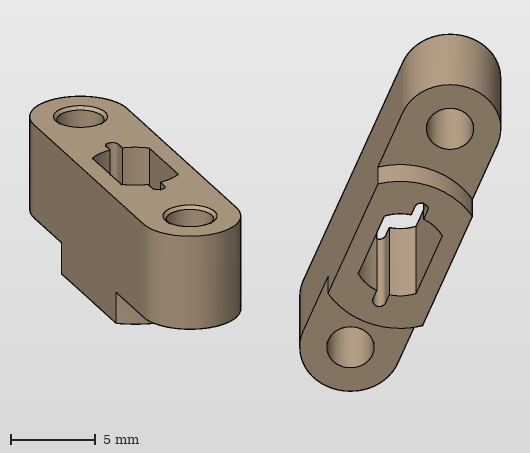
import cadquery as cq

length = 22.0
width = 6.0
body_height = 6.0

boss_diameter = 10.0
boss_height = 2.0

hole_spacing = length - width
hole_diameter = 2.8
hole_chamfer = 0.2

opening_diameter = 5.59
opening_width = 3.67
slot_length = 7.5
slot_width = 0.8

total_height = body_height + boss_height


def flatted_disc(diameter, flat_width, height):
    """Disc standing on Z = 0, cut to flat_width along Y."""
    disc = cq.Workplane("XY").circle(diameter / 2).extrude(height)
    flats = cq.Workplane("XY").rect(diameter, flat_width).extrude(height)
    return disc.intersect(flats)


def round_ended_bar(bar_length, bar_width, height):
    """Bar along X with semicircular ends, standing on Z = 0."""
    return cq.Workplane("XY").slot2D(bar_length, bar_width).extrude(height)


body = round_ended_bar(length, width, body_height).translate((0, 0, boss_height))
boss = flatted_disc(boss_diameter, width, boss_height)
result = body.union(boss)

opening = flatted_disc(opening_diameter, opening_width, total_height)
slot = round_ended_bar(slot_length, slot_width, total_height)
result = result.cut(opening).cut(slot)

result = (
    result.faces(">Z").workplane(origin=(0, 0, total_height))
    .pushPoints([(-hole_spacing / 2, 0), (hole_spacing / 2, 0)])
    .cskHole(hole_diameter, hole_diameter + 2 * hole_chamfer, 90)
)